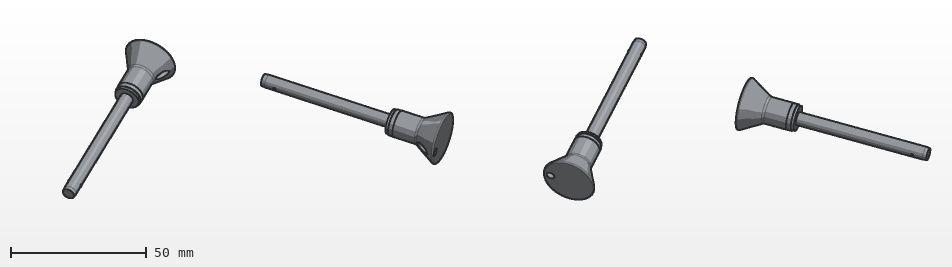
import cadquery as cq
import math

overall_length = 72.0

knob_radius = 10.0
rim_round_radius = 0.43
flare_half_angle = math.radians(30.0)
neck_blend_radius = 2.0
body_radius = 5.15

body_end = 18.1
sleeve_radius = 5.1
sleeve_end = 19.9
collar_radius = 4.8
collar_end = 21.0

pin_radius = 2.5
tip_radius = 2.3
tip_length = 1.5

ball_radius = 0.75
ball_tip_radius = 2.72
ball_position = 66.5

lanyard_hole_diameter = 3.0
lanyard_hole_offset = 7.2


def polar_point(center, radius, angle):
    """Point on a circle in the (radius, axial) plane, with the angle measured from the radial axis."""
    return (center[0] + radius * math.cos(angle), center[1] + radius * math.sin(angle))


def turned_profile():
    """Half section of the knob and pin; local x is the radius, local y the axial position."""
    rim_center = (knob_radius - rim_round_radius, rim_round_radius)
    rim_start = (rim_center[0], 0.0)
    rim_outermost = (knob_radius, rim_center[1])
    rim_back_middle = polar_point(rim_center, rim_round_radius, -math.pi / 4)
    rim_front_middle = polar_point(rim_center, rim_round_radius, flare_half_angle / 2)
    flare_start = polar_point(rim_center, rim_round_radius, flare_half_angle)

    corner_position = flare_start[1] + (flare_start[0] - body_radius) / math.tan(flare_half_angle)
    tangent_length = neck_blend_radius * math.tan(flare_half_angle / 2)
    blend_center = (body_radius + neck_blend_radius, corner_position + tangent_length)
    flare_end = polar_point(blend_center, neck_blend_radius, math.pi + flare_half_angle)
    blend_middle = polar_point(blend_center, neck_blend_radius, math.pi + flare_half_angle / 2)
    blend_end = (body_radius, blend_center[1])

    return (
        cq.Workplane("XY")
        .moveTo(0, 0)
        .lineTo(*rim_start)
        .threePointArc(rim_back_middle, rim_outermost)
        .threePointArc(rim_front_middle, flare_start)
        .lineTo(*flare_end)
        .threePointArc(blend_middle, blend_end)
        .lineTo(body_radius, body_end)
        .lineTo(sleeve_radius, body_end)
        .lineTo(sleeve_radius, sleeve_end)
        .lineTo(collar_radius, sleeve_end)
        .lineTo(collar_radius, collar_end)
        .lineTo(pin_radius, collar_end)
        .lineTo(pin_radius, overall_length - tip_length)
        .lineTo(tip_radius, overall_length)
        .lineTo(0, overall_length)
        .close()
    )


def turned_body():
    """Knob and pin as one solid of revolution, pointing along -Y."""
    return turned_profile().revolve(360, (0, 0), (0, 1)).mirror("XZ")


def locking_ball(side):
    """Ball standing slightly proud of the pin on the +X (1) or -X (-1) side."""
    center_x = side * (ball_tip_radius - ball_radius)
    return cq.Workplane("XY").sphere(ball_radius).translate((center_x, -ball_position, 0))


def lanyard_hole():
    """Cutter through the flare, parallel to the pin axis."""
    return (
        cq.Workplane("XZ")
        .center(lanyard_hole_offset, 0)
        .circle(lanyard_hole_diameter / 2)
        .extrude(body_end)
    )


result = turned_body()
for side in (-1, 1):
    result = result.union(locking_ball(side))
result = result.cut(lanyard_hole())